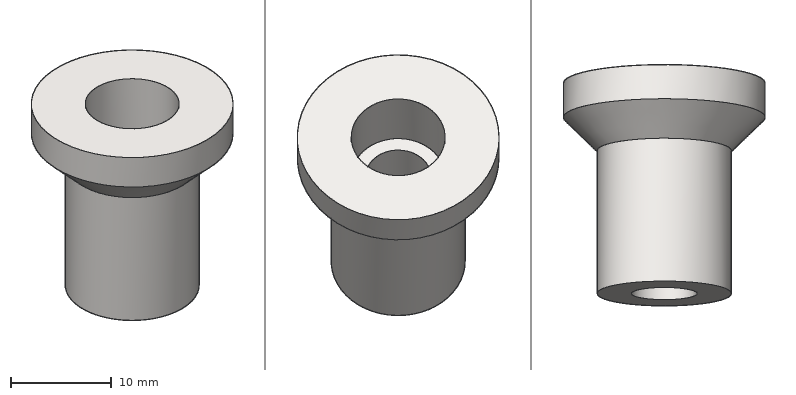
import cadquery as cq

total_height = 21.2
head_diameter = 20.0
shank_diameter = 13.3
shank_length = 14.4
bore_diameter = 6.5
counterbore_diameter = 9.3

head_radius = head_diameter / 2
shank_radius = shank_diameter / 2
cone_height = head_radius - shank_radius
head_bottom = shank_length + cone_height

counterbore_depth = total_height - shank_length


def flanged_body():
    """Solid of revolution about Z: shank, conical transition and head."""
    return (
        cq.Workplane("XZ")
        .lineTo(shank_radius, 0)
        .lineTo(shank_radius, shank_length)
        .lineTo(head_radius, head_bottom)
        .lineTo(head_radius, total_height)
        .lineTo(0, total_height)
        .close()
        .revolve(360, (0, 0, 0), (0, 1, 0))
    )


def cut_stepped_bore(body):
    """Through bore with a wider counterbore entering from the head face."""
    return (
        body.faces(">Z")
        .workplane()
        .cboreHole(bore_diameter, counterbore_diameter, counterbore_depth)
    )


result = cut_stepped_bore(flanged_body())